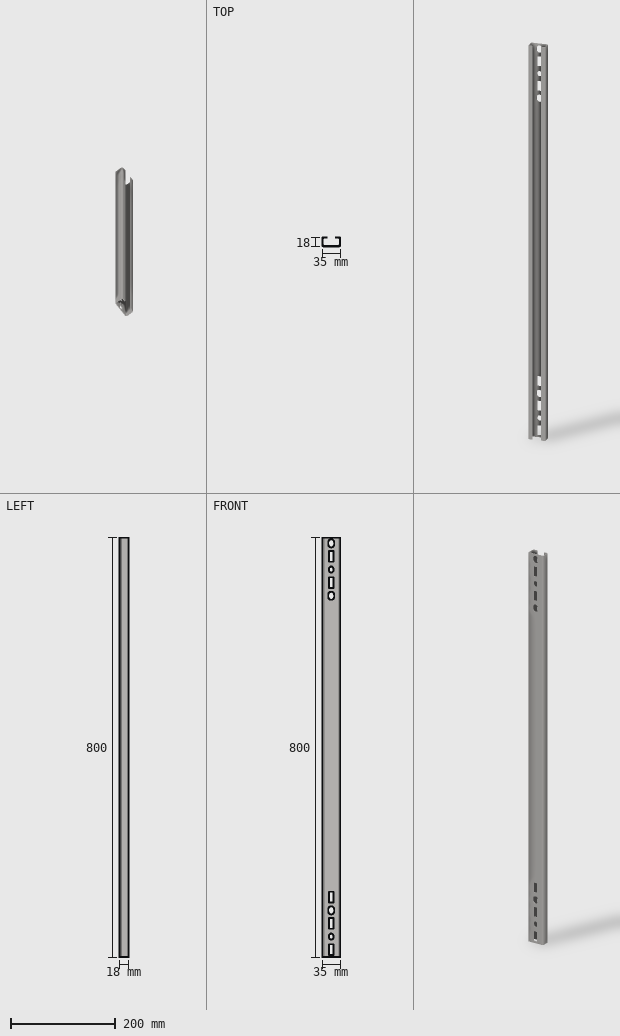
import cadquery as cq

LENGTH = 800.0
WIDTH = 35.0
DEPTH = 18.0
WALL = 1.5
OPENING = 17.0
OUTER_RADIUS = 3.25
INNER_RADIUS = OUTER_RADIUS - WALL

PITCH = 25.0
FIRST_HOLE_HEIGHT = 14.0
GRID_COUNT = 32
HOLES_PER_END = 5
HOLE_SEQUENCE = ("slot", "small", "slot", "large")

SLOT_WIDTH = 8.0
SLOT_LENGTH = 20.0
SMALL_WIDTH = 8.0
SMALL_LENGTH = 11.0
LARGE_WIDTH = 11.0
LARGE_LENGTH = 15.0

ALONG_RAIL = 90


def rounded_bar(width, depth, corner_radius):
    """Bar of full rail length with rounded long edges."""
    lower_end = cq.Workplane("XY", origin=(0, 0, -LENGTH / 2))
    bar = lower_end.rect(width, depth).extrude(LENGTH)
    return bar.edges("|Z").fillet(corner_radius)


def rail():
    """Hollow rounded bar, slit open between the lips on the +Y side."""
    outer = rounded_bar(WIDTH, DEPTH, OUTER_RADIUS)
    cavity = rounded_bar(WIDTH - 2 * WALL, DEPTH - 2 * WALL, INNER_RADIUS)
    mouth = cq.Workplane("XY").box(OPENING, DEPTH, LENGTH).translate((0, DEPTH / 2, 0))
    return outer.cut(cavity).cut(mouth)


def hole_cutter(kind, height):
    """Cutter through the web, centred at a height above the lower end."""
    plane = cq.Workplane("XZ", origin=(0, 0, height - LENGTH / 2))
    if kind == "slot":
        outline = plane.rect(SLOT_WIDTH, SLOT_LENGTH)
    elif kind == "small":
        outline = plane.slot2D(SMALL_LENGTH, SMALL_WIDTH, ALONG_RAIL)
    else:
        outline = plane.slot2D(LARGE_LENGTH, LARGE_WIDTH, ALONG_RAIL)
    return outline.extrude(DEPTH)


def perforated(body):
    """Punch the first and the last positions of the hole grid."""
    for index in range(GRID_COUNT):
        near_lower_end = index < HOLES_PER_END
        near_upper_end = index >= GRID_COUNT - HOLES_PER_END
        if near_lower_end or near_upper_end:
            kind = HOLE_SEQUENCE[index % len(HOLE_SEQUENCE)]
            body = body.cut(hole_cutter(kind, FIRST_HOLE_HEIGHT + index * PITCH))
    return body


result = perforated(rail())